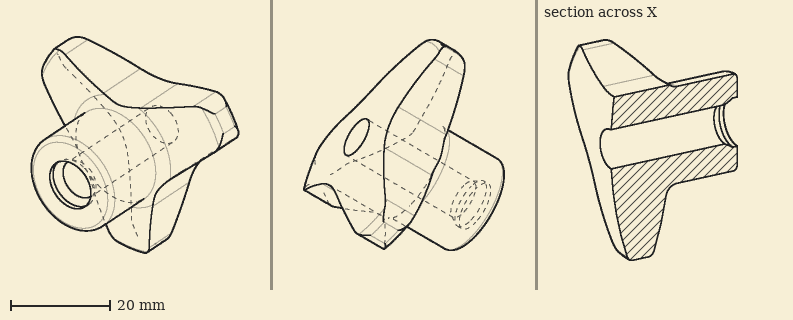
import cadquery as cq
import math

crown_length = 29.93
arm_count = 3
arm_reach = 25.05
grip_thickness = 14.25
dome_radius = 75.4
disc_radius = 25.0
rim_fillet = 1.5

hub_radius = 21.0 / 2
hub_end_fillet = 1.0
hub_root_fillet = 2.38

bore_diameter = 8.35
bore_mouth_diameter = 10.5
bore_mouth_depth = 1.1
bore_cone_angle = 60

valley_distance = 11.15
valley_radius = 16.0
arm_taper = 12.8
tip_corner_fillet = 4.0


def dome_drop(radius):
    """Axial distance from the dome crown to the dome surface at a given radius."""
    return dome_radius - math.sqrt(dome_radius**2 - radius**2)


def make_turned_body():
    """Hub and double-domed disc, revolved about Y."""
    front_crown = crown_length - grip_thickness
    mid_radius = disc_radius / 2

    def front_dome(radius):
        return (radius, front_crown + dome_drop(radius))

    def back_dome(radius):
        return (radius, crown_length - dome_drop(radius))

    profile = (
        cq.Workplane("XY")
        .moveTo(0, front_crown)
        .threePointArc(front_dome(mid_radius), front_dome(disc_radius))
        .lineTo(*back_dome(disc_radius))
        .threePointArc(back_dome(mid_radius), (0, crown_length))
        .close()
    )
    disc = profile.revolve(360, (0, 0, 0), (0, 1, 0))
    disc = disc.edges("%CIRCLE").fillet(rim_fillet)

    hub_overlap = grip_thickness / 2
    hub = cq.Workplane("XZ").circle(hub_radius).extrude(-(front_crown + hub_overlap))
    hub = hub.faces("<Y").edges().fillet(hub_end_fillet)

    root_y = front_dome(hub_radius)[1]
    root_reach = 0.25
    root_box = cq.selectors.BoxSelector(
        (-disc_radius, root_y - root_reach, -disc_radius),
        (disc_radius, root_y + root_reach, disc_radius),
        boundingbox=True,
    )
    return disc.union(hub).edges(root_box).fillet(hub_root_fillet)


def make_arm_outline():
    """Star-shaped prism along Y: tapered arms joined by concave arcs."""
    half_pitch = 180 / arm_count
    side_angle = math.radians(90 - half_pitch - arm_taper)
    valley_x = valley_radius * math.sin(side_angle)
    valley_z = valley_distance + valley_radius * (1 - math.cos(side_angle))

    along = valley_x * math.cos(side_angle) + valley_z * math.sin(side_angle)
    offset_squared = arm_reach**2 - valley_x**2 - valley_z**2
    side_length = math.sqrt(along**2 + offset_squared) - along
    tip_x = valley_x + side_length * math.cos(side_angle)
    tip_z = valley_z + side_length * math.sin(side_angle)

    def turned(point, index):
        angle = -math.radians(index * 360 / arm_count)
        x, z = point
        return (
            x * math.cos(angle) - z * math.sin(angle),
            x * math.sin(angle) + z * math.cos(angle),
        )

    tip_angle = math.radians(half_pitch)
    tip_middle = (arm_reach * math.sin(tip_angle), arm_reach * math.cos(tip_angle))

    outline = cq.Workplane("XZ").moveTo(-valley_x, valley_z)
    for index in range(arm_count):
        outline = (
            outline
            .threePointArc(turned((0, valley_distance), index), turned((valley_x, valley_z), index))
            .lineTo(*turned((tip_x, tip_z), index))
            .threePointArc(turned(tip_middle, index), turned((-tip_x, tip_z), index + 1))
        )
        if index < arm_count - 1:
            outline = outline.lineTo(*turned((-valley_x, valley_z), index + 1))
    prism = outline.close().extrude(-crown_length)

    def is_tip_corner(edge):
        center = edge.Center()
        return math.hypot(center.x, center.z) > (arm_reach + valley_distance) / 2

    corners = prism.edges("|Y").filter(is_tip_corner)
    return corners.fillet(tip_corner_fillet)


def make_bore():
    """Through bore with a counterbored mouth that narrows to the bore through a cone."""
    bore = cq.Workplane("XZ").circle(bore_diameter / 2).extrude(-crown_length)
    mouth = cq.Workplane("XZ").circle(bore_mouth_diameter / 2).extrude(-bore_mouth_depth)
    cone_width = (bore_mouth_diameter - bore_diameter) / 2
    cone_depth = cone_width / math.tan(math.radians(bore_cone_angle / 2))
    cone = (
        cq.Workplane("XZ", origin=(0, bore_mouth_depth, 0))
        .circle(bore_mouth_diameter / 2)
        .workplane(offset=-cone_depth)
        .circle(bore_diameter / 2)
        .loft(ruled=True)
    )
    return bore.union(mouth).union(cone)


result = make_turned_body().intersect(make_arm_outline()).cut(make_bore())